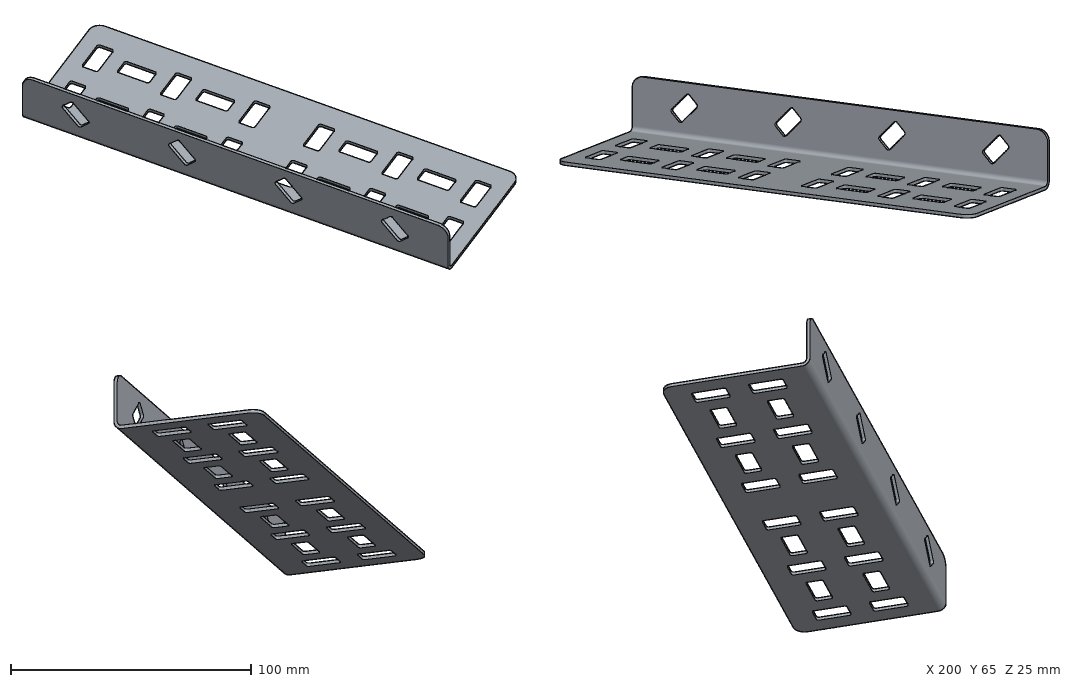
import cadquery as cq

length = 200.0
base_depth = 65.0
flange_height = 25.0
sheet = 1.5
inner_bend_radius = 2.0
outer_bend_radius = inner_bend_radius + sheet
corner_radius = 5.0

slot_length = 15.0
slot_width = slot_length / 2
slot_corner = 1.0
slots_per_half = 5
slot_rows = 2
end_margin = 11.2
slot_pitch = 18.5
rear_row_margin = 18.5
row_pitch = 24.8

flange_slot_length = 12.0
flange_slot_width = 7.0
flange_slot_corner = 1.0
flange_slot_tilt = -45.0
flange_slot_count = 4
flange_slot_pitch = length / flange_slot_count
flange_slot_drop = 11.0

cutter_height = 4 * sheet


def round_edged_block(offset, radius):
    """Block whose lower front edge is rounded, shifted inward by the offset in Y and Z."""
    block = cq.Workplane("XY").box(length, base_depth, flange_height, centered=(True, False, False))
    return block.translate((0, offset, offset)).edges("|X and <Y and <Z").fillet(radius)


def bent_sheet():
    """L-shaped bent sheet along X, with rounded free corners."""
    outer = round_edged_block(0, outer_bend_radius)
    inner = round_edged_block(sheet, inner_bend_radius)
    bracket = outer.cut(inner)
    bracket = bracket.edges("|Z and >Y").fillet(corner_radius)
    return bracket.edges("|Y and >Z").fillet(corner_radius)


def slot_cutter(size_x, size_y, corner):
    """Round-cornered bar centred on the origin, standing along Z."""
    return cq.Workplane("XY").box(size_x, size_y, cutter_height).edges("|Z").fillet(corner)


def base_slots():
    """Rows of alternating slots, mirrored about the middle of the base."""
    crosswise = slot_cutter(slot_width, slot_length, slot_corner)
    lengthwise = slot_cutter(slot_length, slot_width, slot_corner)
    cutters = cq.Workplane("XY")
    for row in range(slot_rows):
        y = base_depth - rear_row_margin - row * row_pitch
        for index in range(slots_per_half):
            slot = crosswise if index % 2 == 0 else lengthwise
            x = length / 2 - end_margin - index * slot_pitch
            for side in (-1, 1):
                cutters.add(slot.translate((side * x, y, 0)))
    return cutters.combine()


def flange_slots():
    """Evenly spaced slots through the flange, falling toward +X."""
    slot = slot_cutter(flange_slot_length, flange_slot_width, flange_slot_corner)
    slot = slot.rotate((0, 0, 0), (0, 0, 1), flange_slot_tilt)
    slot = slot.rotate((0, 0, 0), (1, 0, 0), 90)
    z = flange_height - flange_slot_drop
    cutters = cq.Workplane("XY")
    for index in range(flange_slot_count):
        x = (index + 0.5) * flange_slot_pitch - length / 2
        cutters.add(slot.translate((x, 0, z)))
    return cutters.combine()


result = bent_sheet().cut(base_slots()).cut(flange_slots())